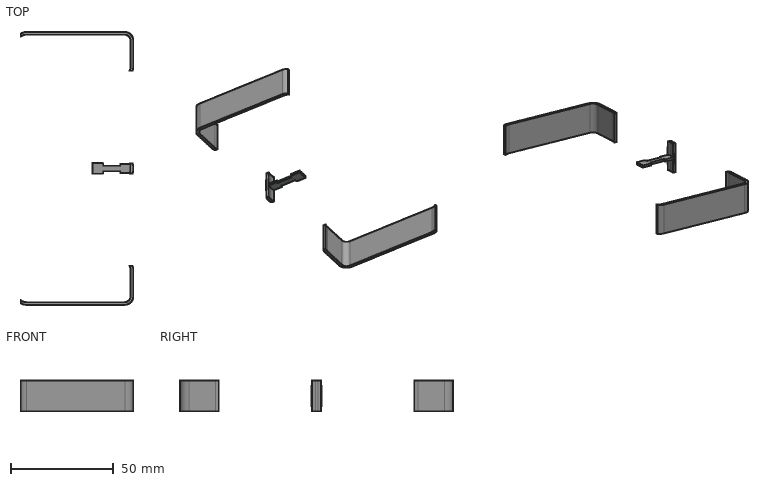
import cadquery as cq
import math

LENGTH = 54.9
WIDTH = 133.0
HEIGHT = 15.0

SHEET = 1.5
BEND_RADIUS = 4.3
ARM_END = 47.5
FRONT_LIP = 2.7
SIDE_LIP = 1.9
LIP_RADIUS = 4.0

STEM_START = 35.0
STEM_THICKNESS = 1.2
HEAD_END = 39.9
HEAD_HALF_WIDTH = 2.7
SHOULDER = 0.4
NECK_HALF_WIDTH = 1.4
ROOT_START = 48.4
ROOT_HALF_WIDTH = 2.3
PLATE_FLAT_HALF_WIDTH = 0.7
PLATE_CURL = 1.5
PLATE_HALF_WIDTH = 2.7
PLATE_END_HALF_WIDTH = 2.3

HALF_WIDTH = WIDTH / 2
INNER_X = LENGTH - SHEET
INNER_Y = HALF_WIDTH - SHEET
BEND_INNER_RADIUS = BEND_RADIUS - SHEET
DIAGONAL = math.sqrt(0.5)


def arc_drop(radius, run):
    """Fall of an arc from its tangent line after the given run."""
    return radius - math.sqrt(radius**2 - run**2)


def prism(profile, height):
    """Extrude a closed XY profile, centered on the XY plane."""
    return profile.extrude(height / 2, both=True)


def make_bracket(side):
    """L-shaped strip with both ends curled inward; side is the sign of Y."""
    bend_x = LENGTH - BEND_RADIUS
    bend_y = HALF_WIDTH - BEND_RADIUS
    outer_mid = BEND_RADIUS * DIAGONAL
    inner_mid = BEND_INNER_RADIUS * DIAGONAL
    front_outer_y = HALF_WIDTH - arc_drop(LIP_RADIUS, FRONT_LIP)
    front_inner_y = INNER_Y - arc_drop(LIP_RADIUS, FRONT_LIP)
    side_outer_x = LENGTH - arc_drop(LIP_RADIUS, SIDE_LIP)
    side_inner_x = INNER_X - arc_drop(LIP_RADIUS, SIDE_LIP)
    lip_y = ARM_END + SIDE_LIP

    profile = (
        cq.Workplane("XY")
        .moveTo(0, side * front_outer_y)
        .radiusArc((FRONT_LIP, side * HALF_WIDTH), side * LIP_RADIUS)
        .lineTo(bend_x, side * HALF_WIDTH)
        .threePointArc((bend_x + outer_mid, side * (bend_y + outer_mid)), (LENGTH, side * bend_y))
        .lineTo(LENGTH, side * lip_y)
        .radiusArc((side_outer_x, side * ARM_END), side * LIP_RADIUS)
        .lineTo(side_inner_x, side * ARM_END)
        .radiusArc((INNER_X, side * lip_y), -side * LIP_RADIUS)
        .lineTo(INNER_X, side * bend_y)
        .threePointArc((bend_x + inner_mid, side * (bend_y + inner_mid)), (bend_x, side * INNER_Y))
        .lineTo(FRONT_LIP, side * INNER_Y)
        .radiusArc((0, side * front_inner_y), -side * LIP_RADIUS)
        .close()
    )
    return prism(profile, HEIGHT)


def make_clip_plate():
    """Upright plate with side edges curled toward -X and slightly bulged."""
    outer_x = LENGTH - arc_drop(LIP_RADIUS, PLATE_CURL)
    inner_x = INNER_X - arc_drop(LIP_RADIUS, PLATE_CURL)
    curl_end = PLATE_FLAT_HALF_WIDTH + PLATE_CURL
    section = (
        cq.Workplane("XY")
        .moveTo(LENGTH, PLATE_FLAT_HALF_WIDTH)
        .lineTo(LENGTH, -PLATE_FLAT_HALF_WIDTH)
        .radiusArc((outer_x, -curl_end), LIP_RADIUS)
        .lineTo(outer_x, -PLATE_HALF_WIDTH)
        .lineTo(inner_x, -PLATE_HALF_WIDTH)
        .lineTo(inner_x, -curl_end)
        .radiusArc((INNER_X, -PLATE_FLAT_HALF_WIDTH), -LIP_RADIUS)
        .lineTo(INNER_X, PLATE_FLAT_HALF_WIDTH)
        .radiusArc((inner_x, curl_end), -LIP_RADIUS)
        .lineTo(inner_x, PLATE_HALF_WIDTH)
        .lineTo(outer_x, PLATE_HALF_WIDTH)
        .lineTo(outer_x, curl_end)
        .radiusArc((LENGTH, PLATE_FLAT_HALF_WIDTH), LIP_RADIUS)
        .close()
    )
    top = HEIGHT / 2
    outline = (
        cq.Workplane("YZ")
        .moveTo(-PLATE_END_HALF_WIDTH, -top)
        .lineTo(PLATE_END_HALF_WIDTH, -top)
        .threePointArc((PLATE_HALF_WIDTH, 0), (PLATE_END_HALF_WIDTH, top))
        .lineTo(-PLATE_END_HALF_WIDTH, top)
        .threePointArc((-PLATE_HALF_WIDTH, 0), (-PLATE_END_HALF_WIDTH, -top))
        .close()
        .extrude(LENGTH)
    )
    return prism(section, HEIGHT).intersect(outline)


def make_clip_stem():
    """Flat stem: wide head, narrow neck and a wider root at the plate."""
    root_end = LENGTH - SHEET / 2
    half_outline = [
        (STEM_START, HEAD_HALF_WIDTH),
        (HEAD_END, HEAD_HALF_WIDTH),
        (HEAD_END + SHOULDER, HEAD_HALF_WIDTH - SHOULDER),
        (HEAD_END + SHOULDER, NECK_HALF_WIDTH),
        (ROOT_START, NECK_HALF_WIDTH),
        (ROOT_START, ROOT_HALF_WIDTH),
        (root_end, ROOT_HALF_WIDTH),
    ]
    mirrored = [(x, -y) for x, y in reversed(half_outline)]
    return prism(cq.Workplane("XY").polyline(half_outline + mirrored).close(), STEM_THICKNESS)


def make_clip():
    return make_clip_plate().union(make_clip_stem())


brackets = [make_bracket(side) for side in (1, -1)]
clip = make_clip()

result = cq.Compound.makeCompound([*(bracket.val() for bracket in brackets), clip.val()])